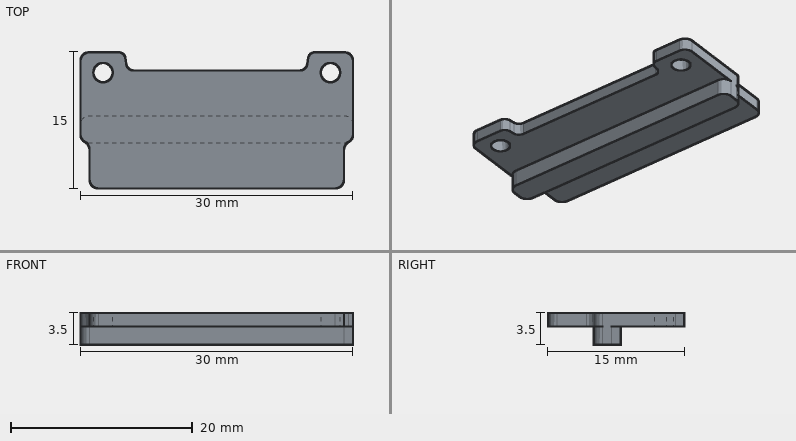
import cadquery as cq
import math

length = 30.0
depth = 15.0
plate_thickness = 1.5
corner_radius = 1.0

tab_width = 5.02
notch_depth = 2.0
notch_radius = 0.8
notch_side_angle = math.radians(8)

side_step = 1.0
front_section_depth = 4.25

hole_diameter = 2.1
hole_spacing = 25.0
hole_y = 5.25

rail_width = 3.0
rail_height = 2.0
rail_y = -1.0

half_length = length / 2
rear_y = depth / 2
front_y = -depth / 2
notch_y = rear_y - notch_depth
notch_side_x = half_length - tab_width
notch_middle_y = rear_y - notch_depth / 2
front_half_length = half_length - side_step

step_angle = math.acos(1 - side_step / (2 * corner_radius))
step_half_drop = corner_radius * math.sin(step_angle)
step_end_y = front_y + front_section_depth
step_middle = (half_length - side_step / 2, step_end_y + step_half_drop)
step_start_y = step_end_y + 2 * step_half_drop

lean_half_drop = notch_depth / 2 - notch_radius * (1 - math.sin(notch_side_angle))
lean_half_shift = lean_half_drop * math.tan(notch_side_angle)
round_end_x = lean_half_shift + notch_radius * math.cos(notch_side_angle)


def half_plate():
    """Right half of the plate, from the centre plane outwards."""
    r = corner_radius
    outline = (
        cq.Workplane("XY")
        .moveTo(0, front_y)
        .lineTo(front_half_length - r, front_y)
        .radiusArc((front_half_length, front_y + r), -r)
        .lineTo(front_half_length, step_end_y)
        .radiusArc(step_middle, r)
        .radiusArc((half_length, step_start_y), -r)
        .lineTo(half_length, rear_y - r)
        .radiusArc((half_length - r, rear_y), -r)
        .lineTo(notch_side_x + round_end_x, rear_y)
        .radiusArc((notch_side_x + lean_half_shift, notch_middle_y + lean_half_drop), -notch_radius)
        .lineTo(notch_side_x - lean_half_shift, notch_middle_y - lean_half_drop)
        .radiusArc((notch_side_x - round_end_x, notch_y), notch_radius)
        .lineTo(0, notch_y)
        .close()
    )
    return outline.extrude(plate_thickness)


def plate():
    """Symmetric plate with its two mounting holes."""
    right_half = half_plate()
    return (
        right_half.union(right_half.mirror("YZ"))
        .clean()
        .faces(">Z")
        .workplane(origin=(0, 0, plate_thickness))
        .pushPoints([(side * hole_spacing / 2, hole_y) for side in (-1, 1)])
        .hole(hole_diameter)
    )


def rail():
    """Full-length rail with rounded corners, hanging below the plate."""
    return (
        cq.Workplane("XY")
        .center(0, rail_y)
        .rect(length, rail_width)
        .extrude(-rail_height)
        .edges("|Z")
        .fillet(corner_radius)
    )


result = plate().union(rail())